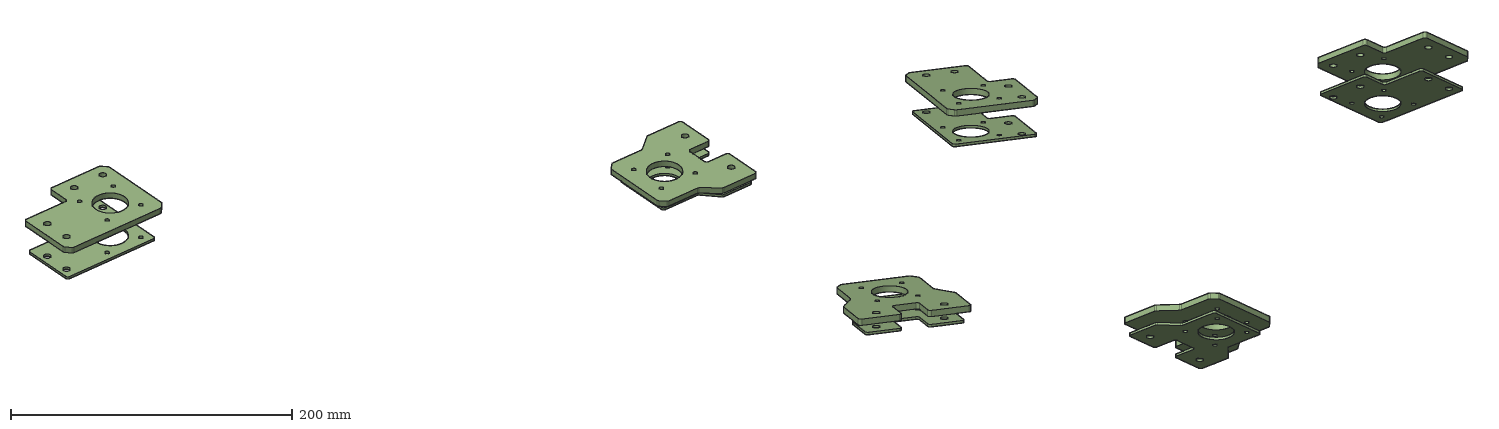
import cadquery as cq

OVERALL_X = 283.72
OVERALL_Y = 457.61
OVERALL_Z = 29.7

PLATE_THICKNESS = 4.7
SHEET_THICKNESS = 2.0
ROUNDING = 2.0

MOTOR_BORE_DIAMETER = 26.0
MOTOR_SCREW_DIAMETER = 3.2
MOTOR_SCREW_SPACING = 31.0
MOUNTING_HOLE_DIAMETER = 5.3

CORNER_LEFT = -41.6
CORNER_RIGHT = 27.8
CORNER_TOP = 28.8
CORNER_BOTTOM = -61.2
CORNER_STEP_X = -21.6
CORNER_STEP_Y = -21.6
CORNER_CHAMFER = 4.7
CORNER_SIDE_HOLE_X = -31.5
CORNER_UPPER_SIDE_HOLE_Y = 18.8
CORNER_LOWER_SIDE_HOLE_Y = -7.4
CORNER_LEFT_END_HOLE_X = -7.7
CORNER_RIGHT_END_HOLE_X = 13.9
CORNER_END_HOLE_Y = -51.4

CORNER_SHEET_RIGHT = 22.7
CORNER_SHEET_TOP = 23.1
CORNER_SHEET_BOTTOM = -57.7

FORK_HALF_WIDTH = 43.0
FORK_NECK_HALF_WIDTH = 31.6
FORK_TOP = 50.0
FORK_BOTTOM = -27.7
FORK_SHOULDER_TOP = 19.0
FORK_SHOULDER_BOTTOM = 5.1
FORK_CHAMFER = 5.2
FORK_NOTCH_HALF_WIDTH = 10.2
FORK_NOTCH_BOTTOM = 30.0
FORK_HOLE_HALF_SPACING = 26.0
FORK_HOLE_Y = 40.0

FORK_SHEET_HALF_WIDTH = 37.7
FORK_SHEET_NECK_HALF_WIDTH = 24.3
FORK_SHEET_SHOULDER_TOP = 23.1
FORK_SHEET_SHOULDER_BOTTOM = 10.9
FORK_SHEET_BOTTOM = -21.0

CORNER_SHEET_Z = 0.0
CORNER_PLATE_Z = OVERALL_Z - PLATE_THICKNESS
FORK_SHEET_Z = 1.6
FORK_PLATE_Z = 9.4

FORK_AXIS_X = CORNER_LEFT + OVERALL_X - FORK_HALF_WIDTH
FORK_AXIS_Y = CORNER_BOTTOM + OVERALL_Y - FORK_TOP

CORNER_MOUNTING_HOLES = [
    (CORNER_SIDE_HOLE_X, CORNER_UPPER_SIDE_HOLE_Y),
    (CORNER_SIDE_HOLE_X, CORNER_LOWER_SIDE_HOLE_Y),
    (CORNER_LEFT_END_HOLE_X, CORNER_END_HOLE_Y),
    (CORNER_RIGHT_END_HOLE_X, CORNER_END_HOLE_Y),
]
FORK_MOUNTING_HOLES = [
    (-FORK_HOLE_HALF_SPACING, FORK_HOLE_Y),
    (FORK_HOLE_HALF_SPACING, FORK_HOLE_Y),
]


def mirrored(right_half):
    """Close a right half outline with its mirror image across the Y axis."""
    left_half = [(-x, y) for x, y in reversed(right_half)]
    return right_half + left_half


def drilled(body, diameter, centers, thickness):
    """Cut round through holes at the given centers."""
    holes = cq.Workplane("XY").pushPoints(centers).circle(diameter / 2).extrude(thickness)
    return body.cut(holes)


def flat_part(outline, thickness, mounting_holes):
    """Make a round-cornered slab with the motor holes and its own mounting holes."""
    slab = cq.Workplane("XY").polyline(outline).close().extrude(thickness)
    slab = slab.edges("|Z").fillet(ROUNDING)
    slab = drilled(slab, MOTOR_BORE_DIAMETER, [(0, 0)], thickness)
    half_spacing = MOTOR_SCREW_SPACING / 2
    motor_screws = [(x, y) for x in (-half_spacing, half_spacing) for y in (-half_spacing, half_spacing)]
    slab = drilled(slab, MOTOR_SCREW_DIAMETER, motor_screws, thickness)
    return drilled(slab, MOUNTING_HOLE_DIAMETER, mounting_holes, thickness)


def corner_plate():
    """L-shaped plate with three chamfered corners."""
    outline = [
        (CORNER_LEFT, CORNER_STEP_Y),
        (CORNER_LEFT, CORNER_TOP - CORNER_CHAMFER),
        (CORNER_LEFT + CORNER_CHAMFER, CORNER_TOP),
        (CORNER_RIGHT - CORNER_CHAMFER, CORNER_TOP),
        (CORNER_RIGHT, CORNER_TOP - CORNER_CHAMFER),
        (CORNER_RIGHT, CORNER_BOTTOM + CORNER_CHAMFER),
        (CORNER_RIGHT - CORNER_CHAMFER, CORNER_BOTTOM),
        (CORNER_STEP_X, CORNER_BOTTOM),
        (CORNER_STEP_X, CORNER_STEP_Y),
    ]
    plate = flat_part(outline, PLATE_THICKNESS, CORNER_MOUNTING_HOLES)
    return plate.translate((0, 0, CORNER_PLATE_Z))


def corner_sheet():
    """Thin L-shaped sheet below the corner plate."""
    outline = [
        (CORNER_LEFT, CORNER_STEP_Y),
        (CORNER_LEFT, CORNER_SHEET_TOP),
        (CORNER_SHEET_RIGHT, CORNER_SHEET_TOP),
        (CORNER_SHEET_RIGHT, CORNER_SHEET_BOTTOM),
        (CORNER_STEP_X, CORNER_SHEET_BOTTOM),
        (CORNER_STEP_X, CORNER_STEP_Y),
    ]
    sheet = flat_part(outline, SHEET_THICKNESS, CORNER_MOUNTING_HOLES)
    return sheet.translate((0, 0, CORNER_SHEET_Z))


def fork_plate():
    """Two-armed plate with sloping shoulders and chamfered lower corners."""
    right_half = [
        (FORK_NOTCH_HALF_WIDTH, FORK_NOTCH_BOTTOM),
        (FORK_NOTCH_HALF_WIDTH, FORK_TOP),
        (FORK_HALF_WIDTH, FORK_TOP),
        (FORK_HALF_WIDTH, FORK_SHOULDER_TOP),
        (FORK_NECK_HALF_WIDTH, FORK_SHOULDER_BOTTOM),
        (FORK_NECK_HALF_WIDTH, FORK_BOTTOM + FORK_CHAMFER),
        (FORK_NECK_HALF_WIDTH - FORK_CHAMFER, FORK_BOTTOM),
    ]
    plate = flat_part(mirrored(right_half), PLATE_THICKNESS, FORK_MOUNTING_HOLES)
    return plate.translate((FORK_AXIS_X, FORK_AXIS_Y, FORK_PLATE_Z))


def fork_sheet():
    """Thin two-armed sheet below the fork plate."""
    right_half = [
        (FORK_NOTCH_HALF_WIDTH, FORK_NOTCH_BOTTOM),
        (FORK_NOTCH_HALF_WIDTH, FORK_TOP),
        (FORK_SHEET_HALF_WIDTH, FORK_TOP),
        (FORK_SHEET_HALF_WIDTH, FORK_SHEET_SHOULDER_TOP),
        (FORK_SHEET_NECK_HALF_WIDTH, FORK_SHEET_SHOULDER_BOTTOM),
        (FORK_SHEET_NECK_HALF_WIDTH, FORK_SHEET_BOTTOM),
    ]
    sheet = flat_part(mirrored(right_half), SHEET_THICKNESS, FORK_MOUNTING_HOLES)
    return sheet.translate((FORK_AXIS_X, FORK_AXIS_Y, FORK_SHEET_Z))


result = cq.Compound.makeCompound(
    [
        corner_plate().val(),
        corner_sheet().val(),
        fork_plate().val(),
        fork_sheet().val(),
    ]
)